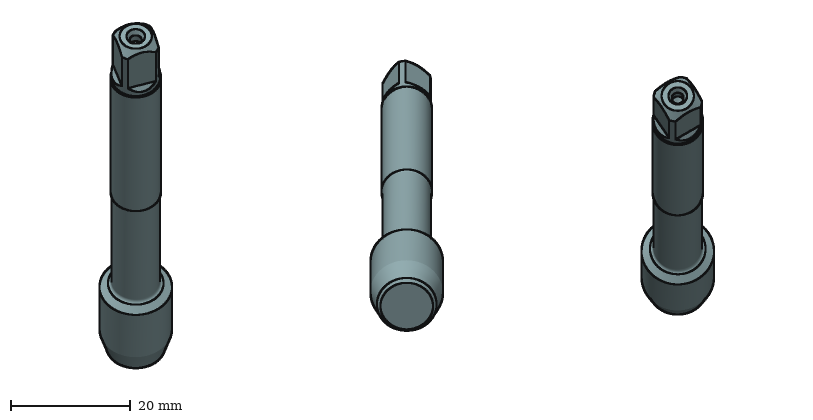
import cadquery as cq
import math

TOTAL_LENGTH = 82.0
HEAD_DIAMETER = 12.18
NECK_DIAMETER = 8.2
SHANK_DIAMETER = 8.5
COLLAR_DIAMETER = 8.16

TIP_DIAMETER = 8.8
LEAD_START_DIAMETER = 10.0
LEAD_START = 0.6
LEAD_END = 4.8
SHOULDER_START = 16.0
HEAD_LENGTH = 16.95
HEAD_TOP_DIAMETER = 9.3

NECK_BLEND_HEIGHT = 0.7
SHANK_START = 41.1
SHANK_CHAMFER = (SHANK_DIAMETER - COLLAR_DIAMETER) / 2
SHANK_END = 71.2

SQUARE_WIDTH = 6.5
SQUARE_LENGTH = 9.0
END_FACE_DIAMETER = 5.4
END_CHAMFER = (COLLAR_DIAMETER - END_FACE_DIAMETER) / 2

CENTRE_HOLE_DIAMETER = 2.0
CENTRE_HOLE_DEPTH = 2.5
DRILL_POINT_ANGLE = 120.0
COUNTERSINK_DIAMETER = 3.1
COUNTERSINK_ANGLE = 60.0


def revolve_about_z(profile):
    """Close a half profile in the XZ plane and turn it into a solid about the Z axis."""
    return profile.close().revolve(360, (0, 0, 0), (0, 1, 0))


def blend_midpoint(neck_radius, outer_radius, outer_height, direction):
    """Middle point of a concave arc that is tangent to the neck.

    The arc starts at outer_radius and outer_height and runs one blend height along Z
    (direction +1 is up, -1 is down) to reach the neck.
    """
    rise = outer_radius - neck_radius
    arc_radius = (NECK_BLEND_HEIGHT**2 + rise**2) / (2 * rise)
    half_angle = math.atan2(NECK_BLEND_HEIGHT, arc_radius - rise) / 2
    tangent_height = outer_height + direction * NECK_BLEND_HEIGHT
    radius = neck_radius + arc_radius * (1 - math.cos(half_angle))
    height = tangent_height - direction * arc_radius * math.sin(half_angle)
    return (radius, height)


def make_head():
    """Forming head with a chamfered tip, a tapered lead and a conical shoulder."""
    profile = (
        cq.Workplane("XZ")
        .lineTo(TIP_DIAMETER / 2, 0)
        .lineTo(LEAD_START_DIAMETER / 2, LEAD_START)
        .lineTo(HEAD_DIAMETER / 2, LEAD_END)
        .lineTo(HEAD_DIAMETER / 2, SHOULDER_START)
        .lineTo(HEAD_TOP_DIAMETER / 2, HEAD_LENGTH)
        .lineTo(0, HEAD_LENGTH)
    )
    return revolve_about_z(profile)


def make_turned_shank():
    """Neck, shank and round collar, before the square and centre hole are cut."""
    neck_radius = NECK_DIAMETER / 2
    shank_radius = SHANK_DIAMETER / 2
    collar_radius = COLLAR_DIAMETER / 2
    head_top_radius = HEAD_TOP_DIAMETER / 2
    profile = (
        cq.Workplane("XZ")
        .moveTo(0, HEAD_LENGTH)
        .lineTo(head_top_radius, HEAD_LENGTH)
        .threePointArc(
            blend_midpoint(neck_radius, head_top_radius, HEAD_LENGTH, 1),
            (neck_radius, HEAD_LENGTH + NECK_BLEND_HEIGHT),
        )
        .lineTo(neck_radius, SHANK_START - NECK_BLEND_HEIGHT)
        .threePointArc(
            blend_midpoint(neck_radius, shank_radius, SHANK_START, -1),
            (shank_radius, SHANK_START),
        )
        .lineTo(shank_radius, SHANK_END - SHANK_CHAMFER)
        .lineTo(collar_radius, SHANK_END)
        .lineTo(collar_radius, TOTAL_LENGTH - END_CHAMFER)
        .lineTo(END_FACE_DIAMETER / 2, TOTAL_LENGTH)
        .lineTo(0, TOTAL_LENGTH)
    )
    return revolve_about_z(profile)


def make_flat_cutter():
    """Cutter for the +X flat, with a 45 degree run-out at its lower end."""
    inner = SQUARE_WIDTH / 2
    outer = SHANK_DIAMETER
    flat_end = TOTAL_LENGTH - SQUARE_LENGTH
    return (
        cq.Workplane("XZ")
        .moveTo(inner, TOTAL_LENGTH)
        .lineTo(inner, flat_end)
        .lineTo(outer, flat_end - (outer - inner))
        .lineTo(outer, TOTAL_LENGTH)
        .close()
        .extrude(SHANK_DIAMETER / 2, both=True)
    )


def make_centre_hole_cutter():
    """Countersunk centre hole with a conical drill point."""
    hole_radius = CENTRE_HOLE_DIAMETER / 2
    sink_radius = COUNTERSINK_DIAMETER / 2
    sink_depth = (sink_radius - hole_radius) / math.tan(math.radians(COUNTERSINK_ANGLE / 2))
    point_depth = hole_radius / math.tan(math.radians(DRILL_POINT_ANGLE / 2))
    hole_bottom = TOTAL_LENGTH - CENTRE_HOLE_DEPTH
    profile = (
        cq.Workplane("XZ")
        .moveTo(0, TOTAL_LENGTH)
        .lineTo(sink_radius, TOTAL_LENGTH)
        .lineTo(hole_radius, TOTAL_LENGTH - sink_depth)
        .lineTo(hole_radius, hole_bottom)
        .lineTo(0, hole_bottom - point_depth)
    )
    return revolve_about_z(profile)


def make_shank():
    """Turned shank with the drive square and the centre hole."""
    shank = make_turned_shank()
    flat_cutter = make_flat_cutter()
    for angle in (0, 90, 180, 270):
        shank = shank.cut(flat_cutter.rotate((0, 0, 0), (0, 0, 1), angle))
    return shank.cut(make_centre_hole_cutter())


head = make_head()
shank = make_shank()

result = cq.Compound.makeCompound([head.val(), shank.val()])